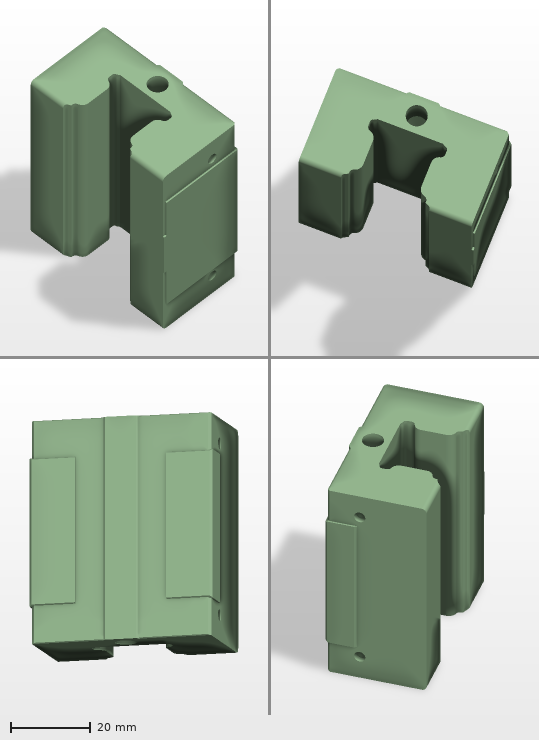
import cadquery as cq
import math


depth = 27.0
length = 57.4
body_width = 47.0
pad_step = 0.5
corner_chamfer = 0.7
front_radius = 1.3

relief_start = 0.92
relief_drop = 0.5

pad_length = 38.3
pad_inner_x = 11.95
left_pad_depth = 8.5
left_pad_bevel = 0.6
right_pad_depth = 26.1
tab_length = 13.4
ridge_half_width = 4.07
ridge_root_depth = 1.2

channel_top = 9.55
floor_half_width = 8.9
groove_half_width = 10.45
groove_radius = 0.75
groove_roof = 10.05
neck_half_width = 7.9
neck_centre = 18.6
neck_half_height = 3.35
bend_x = 9.55
bend_angle = 75.0
mouth_half_width = 11.95
lip_bottom = 25.6
mouth_start_x = 11.4
mouth_start_depth = 26.05
mouth_curve_depth = 26.6

end_hole_diameter = 5.6
end_hole_position = 5.1
end_hole_depth = 10.0
drill_point_angle = 118.0
side_hole_diameter = 3.0
side_hole_position = 9.2
side_hole_spacing = 44.2
side_hole_depth = 1.6

half_body = body_width / 2
half_outer = half_body + pad_step


def relieved_ends(section_length, end_radius):
    """Side outline with sloped ends at the mounting side and optional rounding at the open side."""
    half = section_length / 2
    outline = (
        cq.Workplane("YZ")
        .polyline(
            [
                (-depth, -half),
                (-relief_start, -half),
                (0, relief_drop - half),
                (0, half - relief_drop),
                (-relief_start, half),
                (-depth, half),
            ]
        )
        .close()
        .extrude(half_outer, both=True)
    )
    if end_radius > 0:
        outline = outline.edges("<Y and |X").fillet(end_radius)
    return outline


def along_length(points, section_length):
    """Prism with the given XY outline, centred on Z = 0."""
    return cq.Workplane("XY").polyline(points).close().extrude(section_length / 2, both=True)


def make_body():
    back = -pad_step
    section = along_length(
        [
            (-half_body, -depth),
            (half_body, -depth),
            (half_body, back - corner_chamfer),
            (half_body - corner_chamfer, back),
            (corner_chamfer - half_body, back),
            (-half_body, back - corner_chamfer),
        ],
        length,
    )
    return section.intersect(relieved_ends(length, front_radius))


def make_pad(side, end_depth, end_bevel):
    """Pad wrapped around one mounting side corner; side is -1 or +1 along X."""
    outline = [
        (pad_inner_x, 0),
        (half_outer - corner_chamfer, 0),
        (half_outer, -corner_chamfer),
        (half_outer, end_bevel - end_depth),
        (half_body, -end_depth),
        (pad_inner_x, -end_depth),
    ]
    pad = along_length([(side * x, y) for x, y in outline], pad_length)
    return pad.intersect(relieved_ends(pad_length, 0))


def make_tab():
    """Tongue that carries the right pad to the open side over its middle length."""
    tab_start = -right_pad_depth
    return along_length(
        [
            (pad_inner_x, tab_start),
            (half_outer, tab_start),
            (half_outer, -depth),
            (pad_inner_x, -depth),
        ],
        tab_length,
    )


def make_ridge():
    root_half_width = ridge_half_width + ridge_root_depth
    return along_length(
        [
            (-ridge_half_width, 0),
            (ridge_half_width, 0),
            (root_half_width, -ridge_root_depth),
            (-root_half_width, -ridge_root_depth),
        ],
        length,
    )


def channel_half():
    """Half of the rail channel on the +X side, from the mid plane to the mouth."""
    groove_inner_x = groove_half_width - groove_radius
    corner_centre = groove_roof + groove_radius
    corner_offset = groove_radius * math.sqrt(0.5)
    run_per_offset = 1 / math.tan(math.radians(bend_angle / 2))
    bend_height = neck_half_height + (bend_x - neck_half_width) * run_per_offset
    wall_height = bend_height + (groove_half_width - bend_x) * run_per_offset
    return (
        cq.Workplane("XY")
        .moveTo(0, -channel_top)
        .lineTo(floor_half_width, -channel_top)
        .lineTo(groove_inner_x, -groove_roof)
        .threePointArc(
            (groove_inner_x + corner_offset, corner_offset - corner_centre),
            (groove_half_width, -corner_centre),
        )
        .lineTo(groove_half_width, wall_height - neck_centre)
        .tangentArcPoint((bend_x, bend_height - neck_centre), relative=False)
        .tangentArcPoint((neck_half_width, neck_half_height - neck_centre), relative=False)
        .lineTo(neck_half_width, -neck_half_height - neck_centre)
        .tangentArcPoint((bend_x, -bend_height - neck_centre), relative=False)
        .tangentArcPoint((groove_half_width, -wall_height - neck_centre), relative=False)
        .lineTo(groove_half_width, -lip_bottom)
        .lineTo(mouth_start_x, -mouth_start_depth)
        .tangentArcPoint((mouth_half_width, -mouth_curve_depth), relative=False)
        .lineTo(mouth_half_width, -depth)
        .lineTo(0, -depth)
        .close()
        .extrude(length / 2, both=True)
    )


def end_hole(end):
    """Blind drilled hole with a conical tip; end is -1 or +1 along Z."""
    radius = end_hole_diameter / 2
    tip_depth = end_hole_depth + radius / math.tan(math.radians(drill_point_angle / 2))
    surface = end * length / 2
    return (
        cq.Workplane("XZ", origin=(0, -end_hole_position, 0))
        .polyline(
            [
                (0, surface),
                (radius, surface),
                (radius, surface - end * end_hole_depth),
                (0, surface - end * tip_depth),
            ]
        )
        .close()
        .revolve(360, (0, 0, 0), (0, 1, 0))
    )


def side_hole(side, end):
    """Blind hole in one flank, near one end."""
    entry = cq.Vector(side * half_body, -side_hole_position, end * side_hole_spacing / 2)
    return cq.Workplane(
        cq.Solid.makeCylinder(side_hole_diameter / 2, side_hole_depth, entry, cq.Vector(-side, 0, 0))
    )


block = make_body().union(make_ridge())
block = block.union(make_pad(-1, left_pad_depth, left_pad_bevel))
block = block.union(make_pad(1, right_pad_depth, 0))
block = block.union(make_tab())

right_channel = channel_half()
block = block.cut(right_channel).cut(right_channel.mirror("YZ"))

for end_sign in (-1, 1):
    block = block.cut(end_hole(end_sign))
    for side_sign in (-1, 1):
        block = block.cut(side_hole(side_sign, end_sign))

result = block